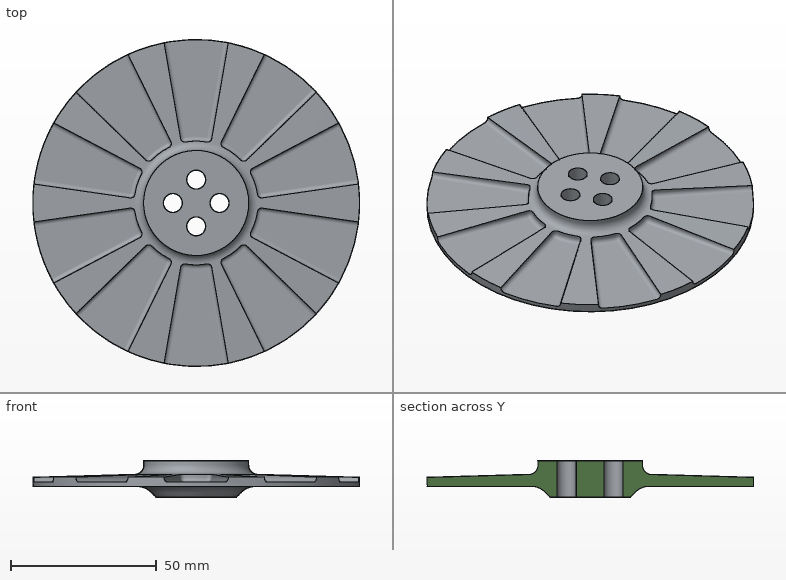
import cadquery as cq
import math

disc_radius = 56.0
total_height = 12.58
disc_bottom_z = 3.7
rim_top_z = 6.9

cap_radius = 18.0
cap_edge_height = 1.58
cap_blend_radius = 3.1
blend_outer_radius = cap_radius + cap_blend_radius
cap_edge_z = total_height - cap_edge_height
blend_foot_z = cap_edge_z - cap_blend_radius

boss_bottom_radius = 13.75
boss_cone_height = 1.7
boss_cone_angle = 45.0
boss_blend_rise = disc_bottom_z - boss_cone_height

pocket_count = 10
pocket_pitch = 360.0 / pocket_count
pocket_start_angle = 90.0
pocket_floor_z = 5.2
pocket_fillet = 1.5
pocket_floor_half_angle = 9.8
pocket_inner_radius = 21.2
pocket_overrun = 4.0

hole_diameter = 6.4
hole_circle_radius = 8.0
hole_count = 4


def make_body():
    """Revolve the half section of the disc, cap and boss about Z."""
    cone_angle = math.radians(boss_cone_angle)
    cone_end_radius = boss_bottom_radius + boss_cone_height / math.tan(cone_angle)
    boss_blend_radius = boss_blend_rise / (1 - math.cos(cone_angle))
    boss_blend_end = cone_end_radius + boss_blend_radius * math.sin(cone_angle)
    boss_mid_point = (
        boss_blend_end - boss_blend_radius * math.sin(cone_angle / 2),
        disc_bottom_z - boss_blend_radius * (1 - math.cos(cone_angle / 2)),
    )
    quarter_mid = cap_blend_radius * math.cos(math.radians(45))
    cap_mid_point = (blend_outer_radius - quarter_mid, cap_edge_z - quarter_mid)
    section = (
        cq.Workplane("XZ")
        .moveTo(0, 0)
        .lineTo(boss_bottom_radius, 0)
        .lineTo(cone_end_radius, boss_cone_height)
        .threePointArc(boss_mid_point, (boss_blend_end, disc_bottom_z))
        .lineTo(disc_radius, disc_bottom_z)
        .lineTo(disc_radius, rim_top_z)
        .lineTo(blend_outer_radius, blend_foot_z)
        .threePointArc(cap_mid_point, (cap_radius, cap_edge_z))
        .lineTo(cap_radius, total_height)
        .lineTo(0, total_height)
        .close()
    )
    return section.revolve(360, (0, 0, 0), (0, 1, 0))


def make_pocket_cutter():
    """Tapered cutter along +X with rounded inner corners and a filleted floor."""
    half_angle = math.radians(pocket_floor_half_angle)
    wall_offset = pocket_fillet / math.cos(half_angle)
    outer_radius = disc_radius + pocket_overrun

    def wall_point(radius):
        """Point where the wall line meets the circle of the given radius."""
        angle = half_angle + math.asin(pocket_fillet / radius)
        return radius * math.cos(angle), radius * math.sin(angle)

    inner_x, inner_y = wall_point(pocket_inner_radius)
    outer_y = wall_offset + outer_radius * math.tan(half_angle)
    return (
        cq.Workplane("XY")
        .workplane(offset=pocket_floor_z)
        .moveTo(inner_x, -inner_y)
        .threePointArc((pocket_inner_radius, 0), (inner_x, inner_y))
        .lineTo(outer_radius, outer_y)
        .lineTo(outer_radius, -outer_y)
        .close()
        .extrude(total_height - pocket_floor_z)
        .edges("|Z and (not >X)")
        .fillet(pocket_fillet)
        .faces("<Z")
        .edges("not >X")
        .fillet(pocket_fillet)
    )


def cut_pockets(body):
    """Cut the ring of equally spaced pockets."""
    cutter = make_pocket_cutter()
    for index in range(pocket_count):
        angle = pocket_start_angle + index * pocket_pitch
        body = body.cut(cutter.rotate((0, 0, 0), (0, 0, 1), angle))
    return body


def cut_mounting_holes(body):
    """Drill the through holes on the mounting circle."""
    holes = (
        cq.Workplane("XY")
        .polarArray(hole_circle_radius, 0, 360, hole_count)
        .circle(hole_diameter / 2)
        .extrude(total_height)
    )
    return body.cut(holes)


result = cut_mounting_holes(cut_pockets(make_body()))